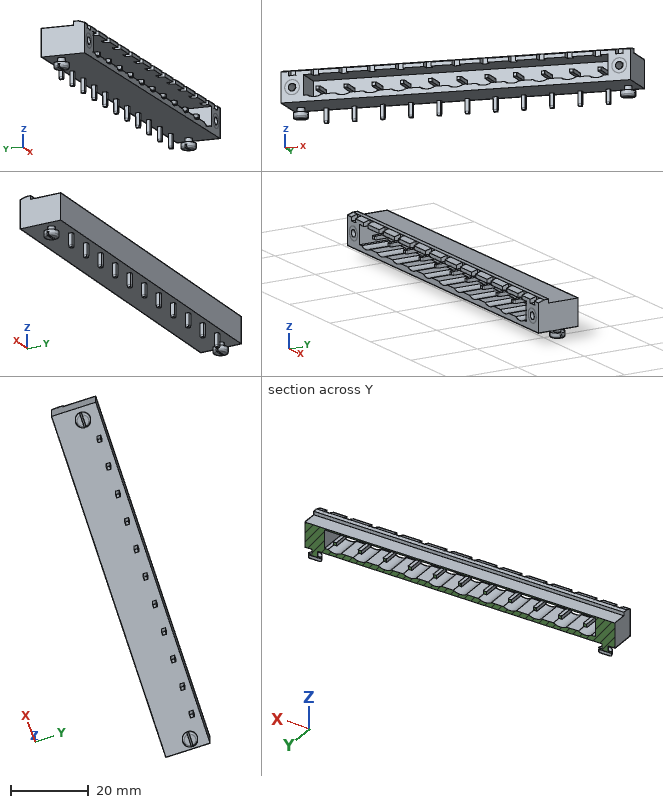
import cadquery as cq
import math


LENGTH = 94.4
DEPTH = 12.0
HOUSING_TOP = 7.6
RIDGE_TOP = 8.7
RIDGE_DEPTH = 3.1
BEVEL_DEPTH = 1.7
FRONT_LIP_TOP = 8.1

CAVITY_WIDTH = 82.2
CAVITY_FLOOR = 1.7
CAVITY_CEILING = 7.1
CAVITY_DEPTH = 8.5
SCALLOP_WIDTH = 4.0
SCALLOP_DROP = 0.6

PIN_COUNT = 11
PIN_SPAN = 76.2
PIN_PITCH = PIN_SPAN / (PIN_COUNT - 1)
PIN_SIZE = 1.0
PIN_HEIGHT = 4.0
PIN_BEND_Y = 10.0
PIN_FRONT_Y = 2.4
PIN_BOTTOM = -3.9
PIN_TIP_LENGTH = 0.6
PIN_TIP_INSET = 0.1
PIN_TIP_TAPER = math.degrees(math.atan2(PIN_TIP_INSET, PIN_TIP_LENGTH))

SCREW_X = 44.2
SCREW_Y = 7.55
SHANK_DIAMETER = 2.0
HEAD_DIAMETER = 4.0
HEAD_TOP = -1.3
HEAD_BOTTOM = -2.8
HEAD_ROUNDING = 0.5
DRIVE_SLOT_WIDTH = 0.5
DRIVE_SLOT_DEPTH = 0.9
INSERT_DIAMETER = HEAD_DIAMETER
INSERT_BORE = SHANK_DIAMETER
INSERT_HEIGHT = PIN_HEIGHT
INSERT_DEPTH = 4.7

NOTCH_FRONT_WIDTH = 2.0
NOTCH_BACK_WIDTH = 1.6
NOTCH_DEPTH = BEVEL_DEPTH

pin_positions = [i * PIN_PITCH - PIN_SPAN / 2 for i in range(PIN_COUNT)]
screw_positions = [-SCREW_X, SCREW_X]


def box(width, y_range, z_range, x=0.0):
    """Box centred on x, spanning the given y and z ranges."""
    depth = y_range[1] - y_range[0]
    height = z_range[1] - z_range[0]
    corner = (x - width / 2, y_range[0], z_range[0])
    return cq.Workplane("XY").box(width, depth, height, centered=False).translate(corner)


def make_housing():
    """Stepped block with a bevelled ridge along its front edge."""
    profile = [
        (0, 0),
        (DEPTH, 0),
        (DEPTH, HOUSING_TOP),
        (RIDGE_DEPTH, HOUSING_TOP),
        (RIDGE_DEPTH, RIDGE_TOP),
        (BEVEL_DEPTH, RIDGE_TOP),
        (0, FRONT_LIP_TOP),
    ]
    return cq.Workplane("YZ").polyline(profile).close().extrude(LENGTH / 2, both=True)


def make_cavity():
    """Rectangular pocket whose floor is scalloped below every pin."""
    half_width = CAVITY_WIDTH / 2
    outline = cq.Workplane("XZ").moveTo(-half_width, CAVITY_CEILING).lineTo(-half_width, CAVITY_FLOOR)
    for x in pin_positions:
        outline = outline.lineTo(x - SCALLOP_WIDTH / 2, CAVITY_FLOOR)
        outline = outline.threePointArc(
            (x, CAVITY_FLOOR - SCALLOP_DROP),
            (x + SCALLOP_WIDTH / 2, CAVITY_FLOOR),
        )
    outline = outline.lineTo(half_width, CAVITY_FLOOR).lineTo(half_width, CAVITY_CEILING).close()
    return outline.extrude(-CAVITY_DEPTH)


def make_notch(x):
    """Slot in the ridge, wider at the open front, reaching from the top down to the cavity ceiling."""
    half_front = NOTCH_FRONT_WIDTH / 2
    half_back = NOTCH_BACK_WIDTH / 2
    plan = [(-half_front, 0), (half_front, 0), (half_back, NOTCH_DEPTH), (-half_back, NOTCH_DEPTH)]
    base = cq.Workplane("XY", origin=(x, 0, CAVITY_CEILING))
    return base.polyline(plan).close().extrude(RIDGE_TOP - CAVITY_CEILING)


def square_bar(plane, length):
    """Square bar of the pin's section, running out from a plane and ending in a tapered tip."""
    shaft_length = length - PIN_TIP_LENGTH
    start = cq.Workplane(plane)
    shaft = start.rect(PIN_SIZE, PIN_SIZE).extrude(shaft_length)
    tip_base = start.workplane(offset=shaft_length)
    tip = tip_base.rect(PIN_SIZE, PIN_SIZE).extrude(PIN_TIP_LENGTH, taper=PIN_TIP_TAPER)
    return shaft.union(tip)


def make_pin(x):
    """Square pin bent at a right angle, with a tapered tip at both ends."""
    half = PIN_SIZE / 2
    contact_start = cq.Plane((x, PIN_BEND_Y + half, PIN_HEIGHT), xDir=(1, 0, 0), normal=(0, -1, 0))
    tail_start = cq.Plane((x, PIN_BEND_Y, PIN_HEIGHT + half), xDir=(1, 0, 0), normal=(0, 0, -1))
    contact = square_bar(contact_start, PIN_BEND_Y + half - PIN_FRONT_Y)
    tail = square_bar(tail_start, PIN_HEIGHT + half - PIN_BOTTOM)
    return contact.union(tail)


def make_screw(x):
    """Slotted cheese-head screw hanging below the flange."""
    head = (
        cq.Workplane("XY", origin=(x, SCREW_Y, HEAD_BOTTOM))
        .circle(HEAD_DIAMETER / 2)
        .extrude(HEAD_TOP - HEAD_BOTTOM)
        .faces("<Z")
        .edges()
        .fillet(HEAD_ROUNDING)
    )
    slot = box(
        HEAD_DIAMETER,
        (SCREW_Y - DRIVE_SLOT_WIDTH / 2, SCREW_Y + DRIVE_SLOT_WIDTH / 2),
        (HEAD_BOTTOM, HEAD_BOTTOM + DRIVE_SLOT_DEPTH),
        x,
    )
    shank = (
        cq.Workplane("XY", origin=(x, SCREW_Y, HEAD_TOP))
        .circle(SHANK_DIAMETER / 2)
        .extrude(INSERT_HEIGHT - HEAD_TOP)
    )
    return head.cut(slot).union(shank)


def front_cylinder(x, diameter):
    """Cylinder running back from the front face at insert height."""
    plane = cq.Workplane("XZ", origin=(x, 0, INSERT_HEIGHT))
    return plane.circle(diameter / 2).extrude(-INSERT_DEPTH)


body = make_housing().cut(make_cavity())
for x in pin_positions + screw_positions:
    body = body.cut(make_notch(x))
for x in pin_positions:
    body = body.union(make_pin(x))
for x in screw_positions:
    body = body.union(make_screw(x)).cut(front_cylinder(x, INSERT_DIAMETER))

for x in screw_positions:
    insert = front_cylinder(x, INSERT_DIAMETER).cut(front_cylinder(x, INSERT_BORE))
    body = body.union(insert, clean=False)

result = body